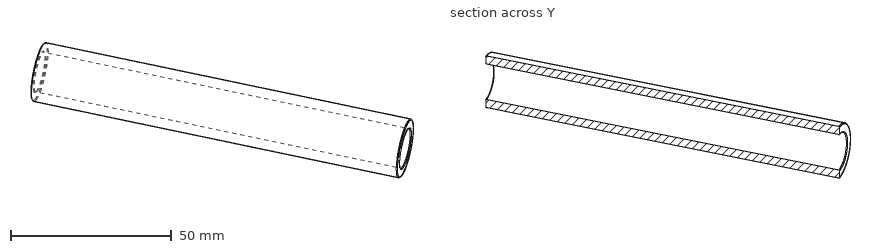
import cadquery as cq

length = 118.8
outer_diameter = 18.8
bore_diameter = 12.6
rim_chamfer = 0.3

tube = (
    cq.Workplane("YZ", origin=(-length / 2, 0, 0))
    .circle(outer_diameter / 2)
    .circle(bore_diameter / 2)
    .extrude(length)
)

result = tube.faces("<X or >X").edges().chamfer(rim_chamfer)